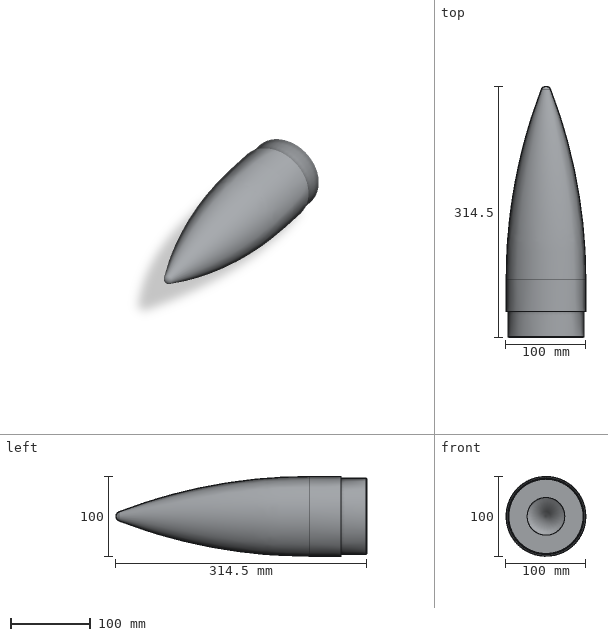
import cadquery as cq
import math

total_length = 314.5
body_radius = 50.0

plug_radius = 47.8
plug_length = 32.5
plug_chamfer = 1.3
recess_radius = 23.5
recess_depth = 23.5

band_length = 40.0
tip_radius = 6.3

ogive_start = plug_length + band_length
tip_center = total_length - tip_radius
tip_offset = tip_center - ogive_start
ogive_arc_radius = (body_radius**2 + tip_offset**2 - tip_radius**2) / (2 * (body_radius - tip_radius))
ogive_angle = math.asin(tip_offset / (ogive_arc_radius - tip_radius))


def revolve_about_y(profile):
    """Close a half profile and turn it fully about the Y axis."""
    return profile.close().revolve(360, (0, 0, 0), (0, 1, 0))


def ogive_point(angle):
    """Point on the ogive arc, turned by the given angle from the end of the band."""
    radius = body_radius - ogive_arc_radius * (1 - math.cos(angle))
    return radius, ogive_start + ogive_arc_radius * math.sin(angle)


def make_plug():
    """Narrower base cylinder with a chamfered rim and a conical recess."""
    profile = (
        cq.Workplane("XY")
        .moveTo(0, recess_depth)
        .lineTo(recess_radius, 0)
        .lineTo(plug_radius - plug_chamfer, 0)
        .lineTo(plug_radius, plug_chamfer)
        .lineTo(plug_radius, plug_length)
        .lineTo(0, plug_length)
    )
    return revolve_about_y(profile)


def make_nose():
    """Solid nose seated on the flat front face of the plug."""
    profile = (
        cq.Workplane("XY")
        .moveTo(0, plug_length)
        .lineTo(body_radius, plug_length)
        .lineTo(body_radius, ogive_start)
        .threePointArc(ogive_point(ogive_angle / 2), ogive_point(ogive_angle))
        .tangentArcPoint((0, total_length), relative=False)
    )
    return revolve_about_y(profile)


plug = make_plug()
nose = make_nose()

result = cq.Compound.makeCompound([plug.val(), nose.val()])